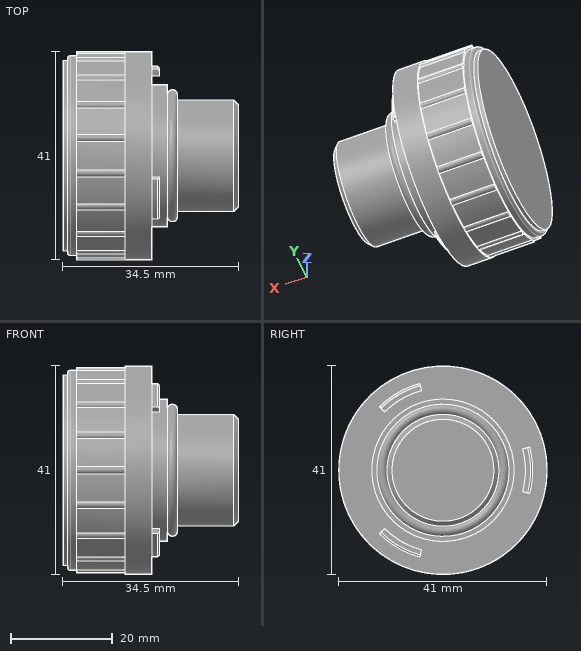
import cadquery as cq
import math

length = 34.52

disc_diameter = 37.55
disc_end = 0.85
rim_diameter = 39.35
rim_end = 2.62
rim_fillet = 0.55

flange_diameter = 41.0
grip_diameter = 40.2
grip_end = 12.18
flange_end = 17.45
rib_count = 18
rib_radius = 0.78

lug_count = 3
lug_outer_diameter = 35.3
lug_inner_diameter = 32.45
lug_height = 1.5
lug_chamfer = 0.4
lug_angle = 30.0

collar_diameter = 28.0
collar_end = 20.5
ring_thickness = 2.0
ring_squeeze = 0.02
spigot_diameter = 22.0
spigot_chamfer = 1.0


def cylinder(diameter, start, end):
    """Solid cylinder along X between two stations."""
    return cq.Workplane("YZ").workplane(offset=start).circle(diameter / 2).extrude(end - start)


def make_cap():
    disc = cylinder(disc_diameter, 0, disc_end)
    rim = cylinder(rim_diameter, disc_end, rim_end).faces("<X").edges().fillet(rim_fillet)
    return disc.union(rim)


def make_grip():
    """Grip drum with round-topped ribs that reach the flange diameter."""
    rib_circle_radius = flange_diameter / 2 - rib_radius
    ribs = (
        cq.Workplane("YZ")
        .workplane(offset=rim_end)
        .polarArray(rib_circle_radius, 0, 360, rib_count)
        .circle(rib_radius)
        .extrude(grip_end - rim_end)
    )
    return cylinder(grip_diameter, rim_end, grip_end).union(ribs)


def make_lug(centre_angle):
    """Arc-shaped lug with a chamfered outer edge; angles run from +Y toward +Z."""
    outer = lug_outer_diameter / 2
    inner = lug_inner_diameter / 2
    lug_end = flange_end + lug_height
    section = [
        (flange_end, inner),
        (flange_end, outer),
        (lug_end - lug_chamfer, outer),
        (lug_end, outer - lug_chamfer),
        (lug_end, inner),
    ]
    lug = cq.Workplane("XY").polyline(section).close().revolve(lug_angle, (0, 0, 0), (1, 0, 0))
    return lug.rotate((0, 0, 0), (1, 0, 0), centre_angle - lug_angle / 2)


def make_spigot():
    """Chamfered spigot with an O-ring seated against the collar."""
    spigot_radius = spigot_diameter / 2
    ring_radius = ring_thickness / 2
    ring_x = collar_end + ring_radius - ring_squeeze
    ring_r = spigot_radius + ring_radius - ring_squeeze
    contact = math.sqrt(ring_radius**2 - (ring_radius - ring_squeeze) ** 2)
    arc_mid = ring_radius * math.sqrt(0.5)
    profile = (
        cq.Workplane("XY")
        .moveTo(collar_end, 0)
        .lineTo(collar_end, ring_r + contact)
        .threePointArc((ring_x + arc_mid, ring_r + arc_mid), (ring_x + contact, spigot_radius))
        .lineTo(length - spigot_chamfer, spigot_radius)
        .lineTo(length, spigot_radius - spigot_chamfer)
        .lineTo(length, 0)
        .close()
    )
    return profile.revolve(360, (0, 0, 0), (1, 0, 0))


flange = cylinder(flange_diameter, grip_end, flange_end)
collar = cylinder(collar_diameter, flange_end, collar_end)

result = make_cap().union(make_grip()).union(flange).union(collar).union(make_spigot())
for index in range(lug_count):
    result = result.union(make_lug(index * 360 / lug_count))